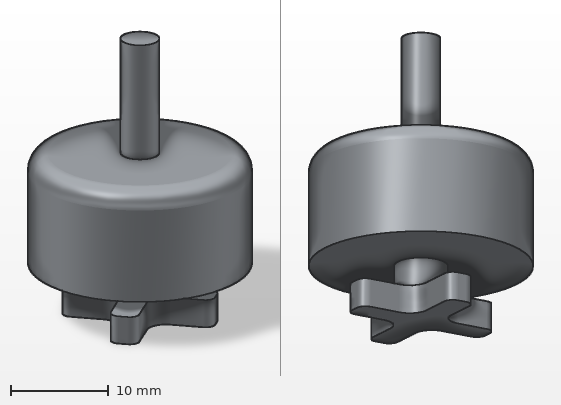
import cadquery as cq

body_diameter = 23.0
body_height = 12.0
body_top_fillet = 2.0

shaft_diameter = 4.0
shaft_length = 12.5

neck_diameter = 5.5
neck_length = 3.0

bar_angle = 90.0
diagonal_angle = bar_angle / 2
cross_span = 16.0
cross_thickness = 3.0
arm_width = 3.0
arm_tip_fillet = 1.0
arm_root_fillet = 2.0

neck_bottom = -neck_length
cross_bottom = neck_bottom - cross_thickness


def cylinder(diameter, bottom, height):
    """Solid cylinder on the Z axis."""
    return cq.Workplane("XY").workplane(offset=bottom).circle(diameter / 2).extrude(height)


def make_body():
    """Cylindrical body with a rounded top rim."""
    return cylinder(body_diameter, 0, body_height).faces(">Z").edges().fillet(body_top_fillet)


def make_cross():
    """Cross with rounded arm tips and filleted corners between the arms."""
    base = cq.Workplane("XY").workplane(offset=cross_bottom)
    bar = base.rect(cross_span, arm_width).extrude(cross_thickness)
    bar = bar.edges("|Z").fillet(arm_tip_fillet)
    cross = bar.union(bar.rotate((0, 0, 0), (0, 0, 1), bar_angle))

    root_zone = cq.selectors.BoxSelector(
        (-arm_width, -arm_width, cross_bottom),
        (arm_width, arm_width, neck_bottom),
    )
    cross = cross.edges("|Z").edges(root_zone).fillet(arm_root_fillet)

    return cross.rotate((0, 0, 0), (0, 0, 1), diagonal_angle)


shaft = cylinder(shaft_diameter, body_height, shaft_length)
neck = cylinder(neck_diameter, neck_bottom, neck_length)

result = make_body().union(shaft).union(neck).union(make_cross())